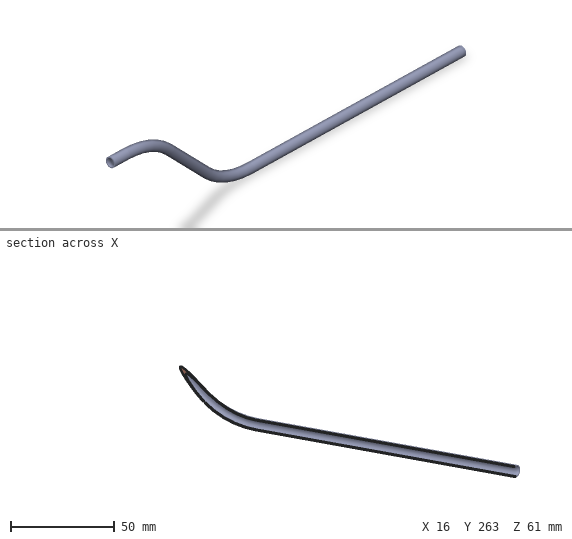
import cadquery as cq
import math

OUTER_DIAMETER = 6.0
WALL_THICKNESS = 0.6

OVERALL_LENGTH = 263.0
TIP_TO_CORNER = 30.0
CORNER_SPACING = 62.0
SIDE_OFFSET = 10.0
HEIGHT_OFFSET = 55.0
BEND_RADIUS = 50.0

bend_plane_offset = math.hypot(SIDE_OFFSET, HEIGHT_OFFSET)
bend_angle = math.atan2(bend_plane_offset, CORNER_SPACING)
bend_plane = cq.Plane(
    origin=(0, 0, 0),
    xDir=(0, -1, 0),
    normal=(-HEIGHT_OFFSET, 0, SIDE_OFFSET),
)

bend_run = BEND_RADIUS * math.sin(bend_angle)
bend_rise = BEND_RADIUS * (1 - math.cos(bend_angle))

bend_setback = BEND_RADIUS * math.tan(bend_angle / 2)


def centreline():
    """Long run, lower bend, incline, upper bend and short tip, toward -Y."""
    upper_corner = OVERALL_LENGTH - TIP_TO_CORNER
    lower_corner = upper_corner - CORNER_SPACING
    lower_bend_start = lower_corner - bend_setback
    upper_bend_end = upper_corner + bend_setback
    return (
        cq.Workplane(bend_plane)
        .moveTo(0, 0)
        .lineTo(lower_bend_start, 0)
        .tangentArcPoint((lower_bend_start + bend_run, bend_rise), relative=False)
        .lineTo(upper_bend_end - bend_run, bend_plane_offset - bend_rise)
        .tangentArcPoint((upper_bend_end, bend_plane_offset), relative=False)
        .lineTo(OVERALL_LENGTH, bend_plane_offset)
    )


def tube():
    """Ring section swept along the centreline, open at both ends."""
    outer_radius = OUTER_DIAMETER / 2
    section = (
        cq.Workplane("XZ")
        .circle(outer_radius)
        .circle(outer_radius - WALL_THICKNESS)
    )
    return section.sweep(centreline())


result = tube()